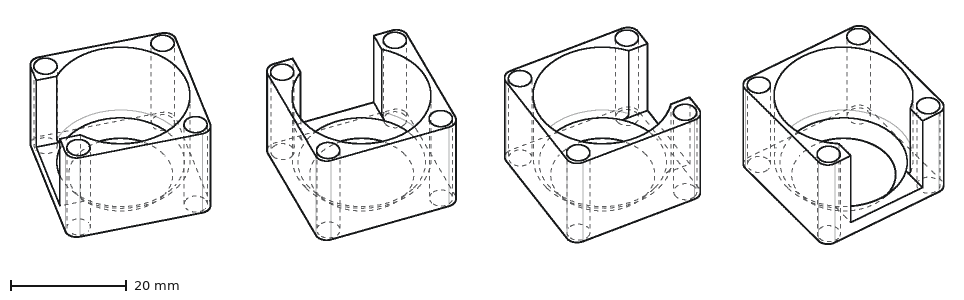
import cadquery as cq

side = 26.0
height = 19.0
corner_radius = 2.0

hole_diameter = 4.0
hole_spacing = 21.0

floor_height = 3.0
bore_diameter = 24.0
bore_fillet = 1.0
opening_diameter = 18.0
seat_diameter = bore_diameter - 2 * bore_fillet

slot_width = 15.1


def make_body():
    """Upright square block with rounded vertical edges."""
    block = cq.Workplane("XY").box(side, side, height, centered=(True, True, False))
    return block.edges("|Z").fillet(corner_radius)


def make_corner_holes():
    """Four cylinders running the full height near the corners."""
    return (
        cq.Workplane("XY")
        .rect(hole_spacing, hole_spacing, forConstruction=True)
        .vertices()
        .circle(hole_diameter / 2)
        .extrude(height)
    )


def make_bore():
    """Conical opening in the floor, then a wide bore with a rounded bottom edge."""
    cone = (
        cq.Workplane("XY")
        .circle(opening_diameter / 2)
        .workplane(offset=floor_height)
        .circle(seat_diameter / 2)
        .loft(ruled=True)
    )
    cylinder = (
        cq.Workplane("XY")
        .workplane(offset=floor_height)
        .circle(bore_diameter / 2)
        .extrude(height - floor_height)
        .faces("<Z")
        .edges()
        .fillet(bore_fillet)
    )
    return cone.union(cylinder)


def make_slot():
    """Box from the bore axis out through the -Y side, open at the top."""
    return (
        cq.Workplane("XY")
        .workplane(offset=floor_height)
        .center(0, -side / 4)
        .rect(slot_width, side / 2)
        .extrude(height - floor_height)
    )


result = make_body().cut(make_corner_holes()).cut(make_bore()).cut(make_slot())